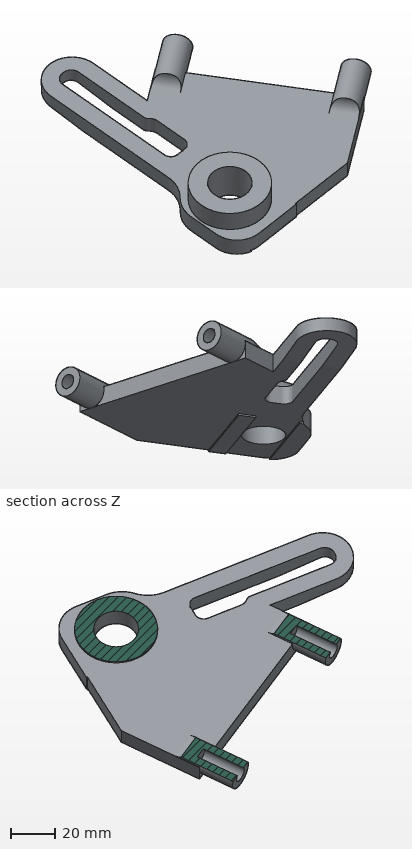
import cadquery as cq
import math


PLATE_THICKNESS = 8.5
BODY_RIGHT = 23.5
HUB_RIGHT = 24.1
HUB_BOTTOM = -20.0
HUB_CORNER_RADIUS = 13.7

ARM_LEFT = HUB_RIGHT - 140
ARM_TOP = 18.3
ARM_WIDTH = 27.9
ARM_RADIUS = ARM_WIDTH / 2
ARM_BOTTOM = ARM_TOP - ARM_WIDTH
ARM_CENTER_Y = ARM_TOP - ARM_RADIUS
ARM_BEND_X = -29.1
ARM_BEND_RADIUS = 16.8
HUB_BEND_RADIUS = 16.1
TAPER_RISE = 2.2
TAPER_END_X = -82.2

SLOT_LEFT = -107.9
SLOT_RIGHT = -35.9
SLOT_BOTTOM = -0.5
SLOT_NARROW_TOP = 9.8
SLOT_WIDE_TOP = 12.5
SLOT_STEP_START = -62.8
SLOT_STEP_END = -56.6
SLOT_STEP_LOWER_SHARE = 0.35
SLOT_LEFT_RADIUS = 4.8
SLOT_RIGHT_RADIUS = 4.2

BOSS_DIAMETER = 37.7
BOSS_HEIGHT = 10.6
BORE_DIAMETER = 20.0
FOOT_HEIGHT = 0.8
FOOT_LEFT = -19.5
CHANNEL_TOP = 10.2
CHANNEL_BOTTOM = -10.6

EDGE_ANGLE = 32.7
BARREL_DIAMETER = 14.0
BARREL_RADIUS = BARREL_DIAMETER / 2
BARREL_LENGTH = 30.0
BARREL_OVERHANG = 17.4
BARREL_SPACING = 82.0
BARREL_BORE_DIAMETER = 6.7
BARREL_BORE_DEPTH = 21.0
FIRST_BARREL_END = (-82.9, 53.6)

edge_cos = math.cos(math.radians(EDGE_ANGLE))
edge_sin = math.sin(math.radians(EDGE_ANGLE))


def barrel_point(along_edge, along_axis):
    """Plan point measured from the open end of the first barrel."""
    x = FIRST_BARREL_END[0] + along_edge * edge_cos + along_axis * edge_sin
    y = FIRST_BARREL_END[1] + along_edge * edge_sin - along_axis * edge_cos
    return x, y


def s_bend(start, end, start_radius_share):
    """Meeting point of two tangent arcs joining parallel lines."""
    x = start[0] + start_radius_share * (end[0] - start[0])
    y = start[1] + start_radius_share * (end[1] - start[1])
    return x, y


def make_plate_outline():
    left_edge = -BARREL_RADIUS
    right_edge = BARREL_SPACING + BARREL_RADIUS
    upper_left = barrel_point(left_edge, BARREL_OVERHANG)
    upper_right = barrel_point(right_edge, BARREL_OVERHANG)
    slope = edge_sin / edge_cos
    notch = (upper_left[0] + (upper_left[1] - ARM_TOP) * slope, ARM_TOP)
    right_corner = (BODY_RIGHT, upper_right[1] - (BODY_RIGHT - upper_right[0]) / slope)

    bend_drop = ARM_BOTTOM - HUB_BOTTOM
    radius_sum = ARM_BEND_RADIUS + HUB_BEND_RADIUS
    bend_run = math.sqrt(2 * radius_sum * bend_drop - bend_drop**2)
    bend_start = (ARM_BEND_X, ARM_BOTTOM)
    bend_end = (ARM_BEND_X + bend_run, HUB_BOTTOM)
    bend_middle = s_bend(bend_start, bend_end, ARM_BEND_RADIUS / radius_sum)

    return (
        cq.Workplane("XY")
        .moveTo(ARM_LEFT + ARM_RADIUS, ARM_TOP)
        .lineTo(*notch)
        .lineTo(*upper_left)
        .lineTo(*upper_right)
        .lineTo(*right_corner)
        .lineTo(BODY_RIGHT, ARM_TOP)
        .lineTo(HUB_RIGHT, ARM_TOP)
        .lineTo(HUB_RIGHT, HUB_BOTTOM + HUB_CORNER_RADIUS)
        .tangentArcPoint((HUB_RIGHT - HUB_CORNER_RADIUS, HUB_BOTTOM), relative=False)
        .lineTo(*bend_end)
        .tangentArcPoint(bend_middle, relative=False)
        .tangentArcPoint(bend_start, relative=False)
        .lineTo(ARM_LEFT + ARM_RADIUS, ARM_BOTTOM)
        .threePointArc((ARM_LEFT, ARM_CENTER_Y), (ARM_LEFT + ARM_RADIUS, ARM_TOP))
        .close()
    )


def make_slot():
    step_start = (SLOT_STEP_START, SLOT_NARROW_TOP)
    step_end = (SLOT_STEP_END, SLOT_WIDE_TOP)
    step_middle = s_bend(step_start, step_end, SLOT_STEP_LOWER_SHARE)
    slot = (
        cq.Workplane("XY")
        .moveTo(SLOT_LEFT, SLOT_BOTTOM)
        .lineTo(SLOT_LEFT, SLOT_NARROW_TOP)
        .lineTo(*step_start)
        .tangentArcPoint(step_middle, relative=False)
        .tangentArcPoint(step_end, relative=False)
        .lineTo(SLOT_RIGHT, SLOT_WIDE_TOP)
        .lineTo(SLOT_RIGHT, SLOT_BOTTOM)
        .close()
        .extrude(PLATE_THICKNESS)
    )
    slot = slot.edges("|Z and <X").fillet(SLOT_LEFT_RADIUS)
    return slot.edges("|Z and >X").fillet(SLOT_RIGHT_RADIUS)


def make_arm_taper():
    """Wedge that thins the underside of the arm towards its tip."""
    return (
        cq.Workplane("XZ", origin=(0, ARM_TOP, 0))
        .polyline([(ARM_LEFT, 0), (ARM_LEFT, TAPER_RISE), (TAPER_END_X, 0)])
        .close()
        .extrude(ARM_WIDTH)
    )


def make_foot():
    """Two low pads under the hub, parted by a channel along X."""
    slab = make_plate_outline().extrude(-FOOT_HEIGHT)
    pads = None
    for lower, upper in ((CHANNEL_TOP, ARM_TOP), (HUB_BOTTOM, CHANNEL_BOTTOM)):
        pad = (
            cq.Workplane("XY")
            .moveTo(FOOT_LEFT, lower)
            .lineTo(BODY_RIGHT, lower)
            .lineTo(BODY_RIGHT, upper)
            .lineTo(FOOT_LEFT, upper)
            .close()
            .extrude(-FOOT_HEIGHT)
            .intersect(slab)
        )
        pads = pad if pads is None else pads.union(pad)
    return pads


def barrel_plane(along_edge):
    """Plane on a barrel's open end, with its normal pointing into the plate."""
    x, y = barrel_point(along_edge, 0)
    return cq.Plane(
        origin=(x, y, BARREL_RADIUS),
        xDir=(edge_cos, edge_sin, 0),
        normal=(edge_sin, -edge_cos, 0),
    )


def make_barrel(along_edge):
    """Cylinder whose inner end is scooped by a quarter arc down to the top of the plate."""
    cylinder = cq.Workplane(barrel_plane(along_edge)).circle(BARREL_RADIUS).extrude(BARREL_LENGTH)
    x, y = barrel_point(along_edge + BARREL_RADIUS, 0)
    side_plane = cq.Plane(
        origin=(x, y, 0),
        xDir=(edge_sin, -edge_cos, 0),
        normal=(-edge_cos, -edge_sin, 0),
    )
    scoop_radius = BARREL_DIAMETER - PLATE_THICKNESS
    scoop_reach = scoop_radius * math.sqrt(0.5)
    scoop_middle = (BARREL_LENGTH - scoop_reach, BARREL_DIAMETER - scoop_reach)
    profile = (
        cq.Workplane(side_plane)
        .lineTo(BARREL_LENGTH, 0)
        .lineTo(BARREL_LENGTH, PLATE_THICKNESS)
        .threePointArc(scoop_middle, (BARREL_LENGTH - scoop_radius, BARREL_DIAMETER))
        .lineTo(0, BARREL_DIAMETER)
        .close()
        .extrude(BARREL_DIAMETER)
    )
    return cylinder.intersect(profile)


def make_barrel_bore(along_edge):
    return (
        cq.Workplane(barrel_plane(along_edge))
        .circle(BARREL_BORE_DIAMETER / 2)
        .extrude(BARREL_BORE_DEPTH)
    )


plate = make_plate_outline().extrude(PLATE_THICKNESS)
plate = plate.cut(make_slot()).cut(make_arm_taper())

boss_top = PLATE_THICKNESS + BOSS_HEIGHT
boss = cq.Workplane("XY").workplane(offset=PLATE_THICKNESS).circle(BOSS_DIAMETER / 2).extrude(BOSS_HEIGHT)
bore = (
    cq.Workplane("XY")
    .workplane(offset=-FOOT_HEIGHT)
    .circle(BORE_DIAMETER / 2)
    .extrude(FOOT_HEIGHT + boss_top)
)

result = plate.union(boss).union(make_foot()).cut(bore)
for barrel_offset in (0, BARREL_SPACING):
    result = result.union(make_barrel(barrel_offset)).cut(make_barrel_bore(barrel_offset))